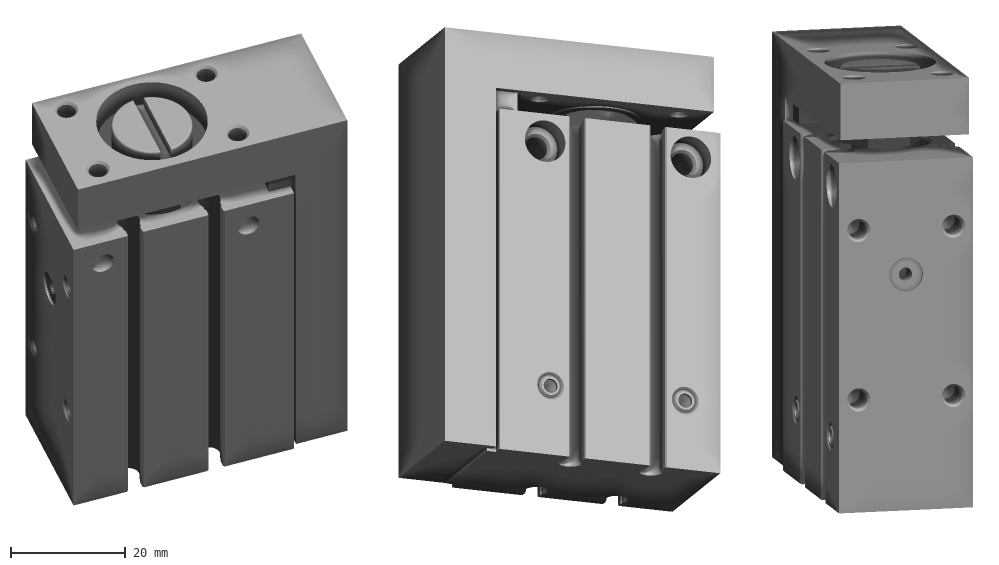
import cadquery as cq
import math

HOUSING_WIDTH = 24.0
HOUSING_DEPTH = 41.0
HOUSING_HEIGHT = 62.1
AXIS_Y = 19.0
SIDE_FACE_X = -HOUSING_WIDTH / 2

SLOT_SPACING = 15.0
SLOT_MOUTH = 2.7
SLOT_MOUTH_CHAMFER = 0.2
SLOT_DIAMETER = 4.0
SLOT_CENTER_DEPTH = 3.6
SLOT_LIP_DEPTH = 1.45
SLOT_THROAT = 3.2

MOUNT_SPACING = 27.05
MOUNT_Z = 57.1
MOUNT_BORE = 4.1
MOUNT_COUNTERSINK = 5.0
MOUNT_COUNTERBORE = 7.5
MOUNT_COUNTERBORE_DEPTH = 4.0

TAP_BORE = 3.3
TAP_COUNTERSINK = 4.1
FRONT_TAP_SPACING_X = 17.0
FRONT_TAP_LOWER_Z = 20.0
FRONT_TAP_SPACING_Z = 30.0
FRONT_TAP_DEPTH = 6.0
DRILL_POINT_ANGLE = 118.0

ROD_OPENING = 17.0
ROD_OPENING_RIM = 18.0
ROD_OPENING_DEPTH = 10.0

FRONT_PLUG_Z = 41.8
FRONT_PLUG_DIAMETER = 6.0
FRONT_PLUG_SETBACK = 0.45
FRONT_PLUG_LENGTH = 4.0
FRONT_PLUG_BORE = 2.35

SIDE_PLUG_SPACING = 25.0
SIDE_PLUG_Z = 12.55
SIDE_PLUG_DIAMETER = 4.1
SIDE_PLUG_FACE = 3.3
SIDE_PLUG_COUNTERSINK = 5.0
SIDE_PLUG_LENGTH = 4.0
SIDE_PLUG_SOCKET = 2.6
SIDE_PLUG_SOCKET_DEPTH = 0.7

TABLE_WIDTH = 23.1
TABLE_TOP = 76.0
TABLE_BOTTOM = 0.5
TABLE_BACK_Y = 51.0
TABLE_INNER_Y = 41.5
FLANGE_FRONT_Y = 1.0
FLANGE_THICKNESS = 10.0
FLANGE_BOTTOM = TABLE_TOP - FLANGE_THICKNESS
FLANGE_TAP_SPACING_X = 15.8
FLANGE_TAP_SPACING_Y = 25.9
HEAD_POCKET_DIAMETER = 19.45
HEAD_POCKET_DEPTH = 5.2

RAIL_WIDTH = 20.3
RAIL_FRONT_Y = 37.0
RAIL_BACK_Y = 42.6

ROD_DIAMETER = 10.0
HEX_ACROSS_FLATS = 13.0
HEX_CHAMFER_ANGLE = 30.0
COLLAR_DIAMETER = 16.0
COLLAR_THICKNESS = 0.2
SCREW_HEAD_DIAMETER = 14.1
SCREW_HEAD_HEIGHT = 4.4
SCREW_HEAD_FILLET = 0.4
SCREW_SLOT_WIDTH = 2.0
SCREW_SLOT_DEPTH = 2.0
SCREW_SHANK_DIAMETER = 8.0
SCREW_END_Z = HOUSING_HEIGHT

UP = cq.Vector(0, 0, 1)
INTO_FRONT = cq.Vector(0, 1, 0)
INTO_SIDE = cq.Vector(1, 0, 0)


def cone_height(diameter, tip_angle):
    return diameter / 2 / math.tan(math.radians(tip_angle / 2))


def block(x_size, y_min, y_max, z_min, z_max):
    """Box centred on X = 0."""
    return (
        cq.Workplane("XY")
        .box(x_size, y_max - y_min, z_max - z_min, centered=(True, False, False))
        .translate((0, y_min, z_min))
    )


def cylinder(diameter, length, start, direction):
    return cq.Workplane(cq.Solid.makeCylinder(diameter / 2, length, start, direction))


def countersink(outer, inner, start, direction):
    """45 degree cone that narrows from the outer to the inner diameter."""
    depth = (outer - inner) / 2
    return cq.Workplane(cq.Solid.makeCone(outer / 2, inner / 2, depth, start, direction))


def drilled_hole(diameter, depth, start, direction):
    """Cylinder that ends in a drill point."""
    tip = cq.Solid.makeCone(
        diameter / 2, 0, cone_height(diameter, DRILL_POINT_ANGLE), start + direction * depth, direction
    )
    return cylinder(diameter, depth, start, direction).union(cq.Workplane(tip))


def around(center, spacing):
    return (center - spacing / 2, center + spacing / 2)


def sensor_slot(y, side):
    """Cutter for one slot; side is -1 for the -X face and 1 for the +X face."""
    face = HOUSING_WIDTH / 2
    center_x = face - SLOT_CENTER_DEPTH
    lip_x = face - SLOT_LIP_DEPTH
    half_mouth = SLOT_MOUTH / 2
    half_rim = half_mouth + SLOT_MOUTH_CHAMFER
    outline = [
        (lip_x, -half_mouth),
        (face - SLOT_MOUTH_CHAMFER, -half_mouth),
        (face, -half_rim),
        (face, half_rim),
        (face - SLOT_MOUTH_CHAMFER, half_mouth),
        (lip_x, half_mouth),
    ]
    mouth = cq.Workplane("XY").polyline(outline).close().extrude(HOUSING_HEIGHT)
    throat = cq.Workplane("XY").rect(lip_x - center_x, SLOT_THROAT).extrude(HOUSING_HEIGHT)
    throat = throat.translate(((lip_x + center_x) / 2, 0, 0))
    channel = cylinder(SLOT_DIAMETER, HOUSING_HEIGHT, cq.Vector(center_x, 0, 0), UP)
    cutter = mouth.union(throat).union(channel)
    if side < 0:
        cutter = cutter.mirror("YZ")
    return cutter.translate((0, y, 0))


def mounting_hole(y):
    face = cq.Vector(SIDE_FACE_X, y, MOUNT_Z)
    floor = face + INTO_SIDE * MOUNT_COUNTERBORE_DEPTH
    return (
        cylinder(MOUNT_BORE, HOUSING_WIDTH, face, INTO_SIDE)
        .union(cylinder(MOUNT_COUNTERBORE, MOUNT_COUNTERBORE_DEPTH, face, INTO_SIDE))
        .union(countersink(MOUNT_COUNTERSINK, MOUNT_BORE, floor, INTO_SIDE))
    )


def front_tap(x, z):
    start = cq.Vector(x, 0, z)
    hole = drilled_hole(TAP_BORE, FRONT_TAP_DEPTH, start, INTO_FRONT)
    return hole.union(countersink(TAP_COUNTERSINK, TAP_BORE, start, INTO_FRONT))


def side_plug_hole(y):
    start = cq.Vector(SIDE_FACE_X, y, SIDE_PLUG_Z)
    hole = cylinder(SIDE_PLUG_DIAMETER, SIDE_PLUG_LENGTH, start, INTO_SIDE)
    return hole.union(countersink(SIDE_PLUG_COUNTERSINK, SIDE_PLUG_DIAMETER, start, INTO_SIDE))


def rod_opening():
    rim = cq.Vector(0, AXIS_Y, HOUSING_HEIGHT)
    hole = cylinder(ROD_OPENING, ROD_OPENING_DEPTH, rim, -UP)
    return hole.union(countersink(ROD_OPENING_RIM, ROD_OPENING, rim, -UP))


def make_housing():
    housing = block(HOUSING_WIDTH, 0, HOUSING_DEPTH, 0, HOUSING_HEIGHT)
    housing = housing.cut(make_rail())
    housing = housing.cut(rod_opening())
    for y in around(AXIS_Y, SLOT_SPACING):
        for side in (-1, 1):
            housing = housing.cut(sensor_slot(y, side))
    for y in around(AXIS_Y, MOUNT_SPACING):
        housing = housing.cut(mounting_hole(y))
    for y in around(AXIS_Y, SIDE_PLUG_SPACING):
        housing = housing.cut(side_plug_hole(y))
    for x in around(0, FRONT_TAP_SPACING_X):
        for z in (FRONT_TAP_LOWER_Z, FRONT_TAP_LOWER_Z + FRONT_TAP_SPACING_Z):
            housing = housing.cut(front_tap(x, z))
    front_plug_depth = FRONT_PLUG_SETBACK + FRONT_PLUG_LENGTH
    plug_hole = cylinder(FRONT_PLUG_DIAMETER, front_plug_depth, cq.Vector(0, 0, FRONT_PLUG_Z), INTO_FRONT)
    return housing.cut(plug_hole)


def make_rail():
    return block(RAIL_WIDTH, RAIL_FRONT_Y, RAIL_BACK_Y, 0, FLANGE_BOTTOM)


def make_table():
    plate = block(TABLE_WIDTH, TABLE_INNER_Y, TABLE_BACK_Y, TABLE_BOTTOM, TABLE_TOP)
    flange = block(TABLE_WIDTH, FLANGE_FRONT_Y, TABLE_BACK_Y, FLANGE_BOTTOM, TABLE_TOP)
    table = plate.union(flange).cut(make_rail())
    screw_top = cq.Vector(0, AXIS_Y, TABLE_TOP)
    table = table.cut(cylinder(HEAD_POCKET_DIAMETER, HEAD_POCKET_DEPTH, screw_top, -UP))
    table = table.cut(cylinder(SCREW_SHANK_DIAMETER, FLANGE_THICKNESS, screw_top, -UP))
    for x in around(0, FLANGE_TAP_SPACING_X):
        for y in around(AXIS_Y, FLANGE_TAP_SPACING_Y):
            start = cq.Vector(x, y, TABLE_TOP)
            table = table.cut(cylinder(TAP_BORE, FLANGE_THICKNESS, start, -UP))
            table = table.cut(countersink(TAP_COUNTERSINK, TAP_BORE, start, -UP))
    return table


def make_screw():
    head_bottom = TABLE_TOP - HEAD_POCKET_DEPTH
    head_top = head_bottom + SCREW_HEAD_HEIGHT
    head = cylinder(SCREW_HEAD_DIAMETER, SCREW_HEAD_HEIGHT, cq.Vector(0, AXIS_Y, head_bottom), UP)
    head = head.faces(">Z").edges().fillet(SCREW_HEAD_FILLET)
    half_slot = SCREW_SLOT_WIDTH / 2
    slot = block(
        SCREW_HEAD_DIAMETER, AXIS_Y - half_slot, AXIS_Y + half_slot, head_top - SCREW_SLOT_DEPTH, head_top
    )
    shank_length = head_bottom - SCREW_END_Z
    shank = cylinder(SCREW_SHANK_DIAMETER, shank_length, cq.Vector(0, AXIS_Y, head_bottom), -UP)
    return head.cut(slot).union(shank)


def make_rod():
    """Round rod, a hexagon with corners on X and a chamfered top, then a thin round collar."""
    collar_bottom = FLANGE_BOTTOM - COLLAR_THICKNESS
    collar_base = cq.Vector(0, AXIS_Y, collar_bottom)
    hex_height = collar_bottom - HOUSING_HEIGHT
    across_corners = HEX_ACROSS_FLATS / math.cos(math.radians(30))
    hexagon = (
        cq.Workplane("XY")
        .polygon(6, across_corners)
        .extrude(hex_height)
        .translate((0, AXIS_Y, HOUSING_HEIGHT))
    )
    top_radius = HEX_ACROSS_FLATS / 2
    bottom_radius = top_radius + hex_height / math.tan(math.radians(HEX_CHAMFER_ANGLE))
    chamfer_cone = cq.Solid.makeCone(top_radius, bottom_radius, hex_height, collar_base, -UP)
    hexagon = hexagon.intersect(cq.Workplane(chamfer_cone))
    collar = cylinder(COLLAR_DIAMETER, COLLAR_THICKNESS, collar_base, UP)
    shaft = cylinder(ROD_DIAMETER, ROD_OPENING_DEPTH, cq.Vector(0, AXIS_Y, HOUSING_HEIGHT), -UP)
    return shaft.union(hexagon).union(collar).cut(make_screw())


def make_front_plug():
    face = cq.Vector(0, FRONT_PLUG_SETBACK, FRONT_PLUG_Z)
    plug = cylinder(FRONT_PLUG_DIAMETER, FRONT_PLUG_LENGTH, face, INTO_FRONT)
    return plug.cut(cylinder(FRONT_PLUG_BORE, FRONT_PLUG_LENGTH, face, INTO_FRONT))


def make_side_plug(y):
    face = cq.Vector(SIDE_FACE_X, y, SIDE_PLUG_Z)
    plug = cylinder(SIDE_PLUG_DIAMETER, SIDE_PLUG_LENGTH, face, INTO_SIDE)
    plug = plug.faces("<X").edges().chamfer((SIDE_PLUG_DIAMETER - SIDE_PLUG_FACE) / 2)
    return plug.cut(drilled_hole(SIDE_PLUG_SOCKET, SIDE_PLUG_SOCKET_DEPTH, face, INTO_SIDE))


housing = make_housing()
table = make_table()
rail = make_rail()
screw = make_screw()
rod = make_rod()
front_plug = make_front_plug()
side_plugs = [make_side_plug(y) for y in around(AXIS_Y, SIDE_PLUG_SPACING)]

result = cq.Compound.makeCompound(
    [
        housing.val(),
        table.val(),
        rail.val(),
        screw.val(),
        rod.val(),
        front_plug.val(),
        *[plug.val() for plug in side_plugs],
    ]
)